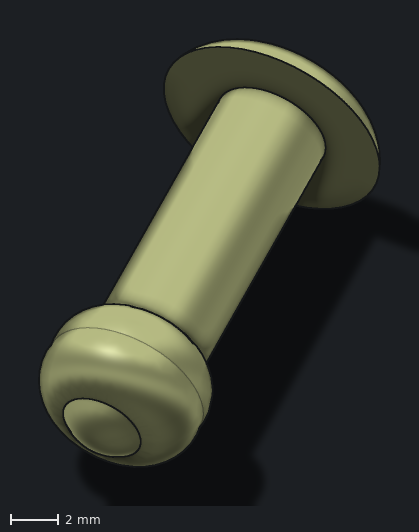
import cadquery as cq
import math

length = 20.0
head_radius = 5.03
head_thickness = 1.78
head_arc_radius = 2.5
shank_radius = head_radius / 2

bulb_arc_radius = 2.0
bulb_max_radius = 3.655
waist_from_tip = 3.28
torus_offset_from_waist = 0.45
dome_rim_radius = 1.81

y_head_top = length / 2
y_head_underside = y_head_top - head_thickness
y_tip = -length / 2
y_waist = y_tip + waist_from_tip
y_upper_torus = y_waist + torus_offset_from_waist
y_lower_torus = y_waist - torus_offset_from_waist


def arc_leg(arc_radius, other_leg):
    """Second leg of the right triangle whose hypotenuse is the arc radius."""
    return math.sqrt(arc_radius**2 - other_leg**2)


def arc_midpoint(centre, start, end):
    """Middle of the minor arc from start to end about centre."""
    cx, cy = centre
    dx = (start[0] + end[0]) / 2 - cx
    dy = (start[1] + end[1]) / 2 - cy
    scale = math.dist(centre, start) / math.hypot(dx, dy)
    return (cx + dx * scale, cy + dy * scale)


head_arc_centre_y = y_head_top - head_arc_radius
head_arc_centre_x = head_radius - arc_leg(head_arc_radius, y_head_underside - head_arc_centre_y)
head_arc_centre = (head_arc_centre_x, head_arc_centre_y)
head_flat_edge = (head_arc_centre_x, y_head_top)
head_rim = (head_radius, y_head_underside)

torus_ring_radius = bulb_max_radius - bulb_arc_radius
upper_torus = (torus_ring_radius, y_upper_torus)
lower_torus = (torus_ring_radius, y_lower_torus)
shank_end = (shank_radius, y_upper_torus + arc_leg(bulb_arc_radius, shank_radius - torus_ring_radius))
waist = (torus_ring_radius + arc_leg(bulb_arc_radius, torus_offset_from_waist), y_waist)

dome_rim_y = y_lower_torus - arc_leg(bulb_arc_radius, dome_rim_radius - torus_ring_radius)
dome_rim = (dome_rim_radius, dome_rim_y)
dome_height = dome_rim_y - y_tip
dome_sphere_radius = (dome_rim_radius**2 + dome_height**2) / (2 * dome_height)
dome_centre = (0, y_tip + dome_sphere_radius)
tip = (0, y_tip)

half_profile = (
    cq.Workplane("XY")
    .moveTo(0, y_head_top)
    .lineTo(*head_flat_edge)
    .threePointArc(arc_midpoint(head_arc_centre, head_flat_edge, head_rim), head_rim)
    .lineTo(shank_radius, y_head_underside)
    .lineTo(*shank_end)
    .threePointArc(arc_midpoint(upper_torus, shank_end, waist), waist)
    .threePointArc(arc_midpoint(lower_torus, waist, dome_rim), dome_rim)
    .threePointArc(arc_midpoint(dome_centre, dome_rim, tip), tip)
    .close()
)

result = half_profile.revolve(360, (0, 0), (0, 1))